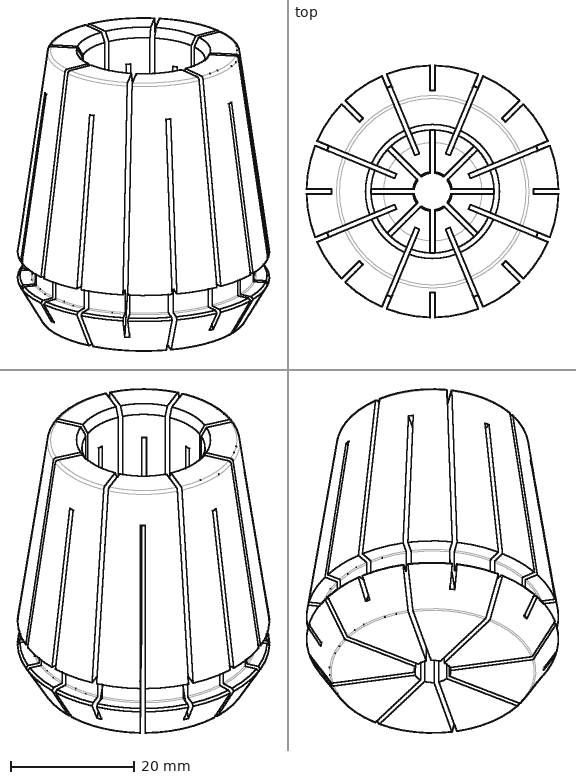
import cadquery as cq
import math

total_height = 46.0
max_radius = 20.5

clamp_taper_angle = 8.0
nose_taper_angle = 30.0
groove_radius = 18.1
groove_bottom = 7.0
groove_top = 11.1
flange_edge_chamfer = 0.4
rim_edge_rounding = 0.5
groove_corner_rounding = 0.2
nose_edge_rounding = 0.3

grip_radius = 3.0
grip_edge_chamfer = 0.2
counterbore_radius = 10.0
counterbore_fillet = 2.0
counterbore_floor = 28.0
mouth_radius = 10.9
mouth_chamfer_height = 1.5

slots_per_end = 8
slot_width = 0.8
nose_slot_top = 40.0
rim_slot_outer_floor = 3.0
rim_slot_inner_radius = 6.5

match_tolerance = 0.001

clamp_slope = math.tan(math.radians(clamp_taper_angle))
nose_slope = math.tan(math.radians(nose_taper_angle))
nose_top = groove_bottom - flange_edge_chamfer
nose_radius = max_radius - nose_top * nose_slope
rim_radius = max_radius - (total_height - groove_top) * clamp_slope
slot_pitch = 360.0 / slots_per_end
slot_reach = max_radius + 1.0


def revolved_body():
    """Body of revolution with its stepped bore; profile in the XZ plane."""
    fillet_center_radius = counterbore_radius - counterbore_fillet
    fillet_center_height = counterbore_floor + counterbore_fillet
    diagonal = counterbore_fillet * math.sqrt(0.5)
    return (
        cq.Workplane("XZ")
        .moveTo(grip_radius, 0)
        .lineTo(nose_radius, 0)
        .lineTo(max_radius, nose_top)
        .lineTo(max_radius - flange_edge_chamfer, groove_bottom)
        .lineTo(groove_radius, groove_bottom)
        .lineTo(groove_radius, groove_top)
        .lineTo(max_radius, groove_top)
        .lineTo(rim_radius, total_height)
        .lineTo(mouth_radius, total_height)
        .lineTo(counterbore_radius, total_height - mouth_chamfer_height)
        .lineTo(counterbore_radius, fillet_center_height)
        .threePointArc(
            (fillet_center_radius + diagonal, fillet_center_height - diagonal),
            (fillet_center_radius, counterbore_floor),
        )
        .lineTo(grip_radius + grip_edge_chamfer, counterbore_floor)
        .lineTo(grip_radius, counterbore_floor - grip_edge_chamfer)
        .close()
        .revolve(360, (0, 0, 0), (0, 1, 0))
    )


def round_circle(body, radius, height, rounding):
    """Fillet the circular edge of the given radius at the given height."""
    def is_wanted(edge):
        return (
            edge.geomType() == "CIRCLE"
            and abs(edge.radius() - radius) < match_tolerance
            and abs(edge.startPoint().z - height) < match_tolerance
        )

    return body.edges().filter(is_wanted).fillet(rounding)


def slot_cutter(outline):
    """Thin radial plate along +X from a closed (radius, height) outline."""
    return cq.Workplane("XZ").polyline(outline).close().extrude(slot_width / 2, both=True)


def nose_slot():
    """Slot open at the nose end, closed below the rim."""
    return slot_cutter([
        (0, 0),
        (slot_reach, 0),
        (slot_reach, nose_slot_top),
        (0, nose_slot_top),
    ])


def rim_slot():
    """Slot open at the rim, with a floor that falls from the counterbore to the nose cone."""
    outer_radius = nose_radius + rim_slot_outer_floor * nose_slope
    floor_slope = (counterbore_floor - rim_slot_outer_floor) / (outer_radius - rim_slot_inner_radius)
    reach_height = rim_slot_outer_floor - (slot_reach - outer_radius) * floor_slope
    return slot_cutter([
        (rim_slot_inner_radius, counterbore_floor),
        (slot_reach, reach_height),
        (slot_reach, total_height),
        (rim_slot_inner_radius, total_height),
    ])


def cut_slots(body, cutter, start_angle):
    """Cut the slot at every pitch around Z."""
    for index in range(slots_per_end):
        angle = start_angle + index * slot_pitch
        body = body.cut(cutter.rotate((0, 0, 0), (0, 0, 1), angle))
    return body


result = revolved_body()
result = round_circle(result, rim_radius, total_height, rim_edge_rounding)
result = round_circle(result, groove_radius, groove_top, groove_corner_rounding)
result = round_circle(result, groove_radius, groove_bottom, groove_corner_rounding)
result = round_circle(result, nose_radius, 0, nose_edge_rounding)
result = cut_slots(result, nose_slot(), 0)
result = cut_slots(result, rim_slot(), slot_pitch / 2)